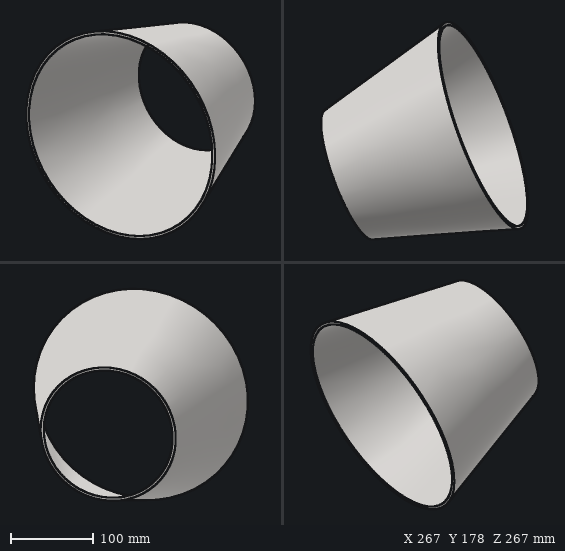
import cadquery as cq
import math

wide_diameter = 267.0
narrow_diameter = 168.3
wall = 4.0
length = 178.0

wide_radius = wide_diameter / 2
narrow_radius = narrow_diameter / 2
half_angle = math.atan((wide_radius - narrow_radius) / length)
radial_wall = wall / math.cos(half_angle)


def reducer_shell():
    """Revolve the sloped wall section around the Y axis."""
    section = (
        cq.Workplane("XY")
        .moveTo(wide_radius - radial_wall, 0)
        .lineTo(wide_radius, 0)
        .lineTo(narrow_radius, length)
        .lineTo(narrow_radius - radial_wall, length)
        .close()
    )
    return section.revolve(360, (0, 0, 0), (0, 1, 0))


result = reducer_shell()